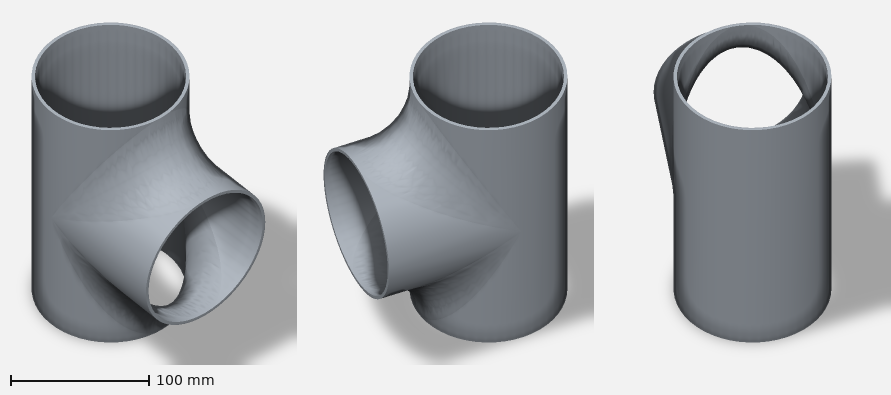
import cadquery as cq
import math

run_length = 210.0
half_run = run_length / 2
branch_reach = half_run
outer_radius = 57.1
wall = 2.5
inner_radius = outer_radius - wall
section_count = 9


def half_ellipse(direction, reach, radius):
    """Half ellipse through the Y axis at +/-radius, reaching out along an XZ direction."""
    normal = direction.cross(cq.Vector(0, 1, 0))
    return cq.Edge.makeEllipse(
        reach, radius, cq.Vector(0, 0, 0), normal, direction, angle1=-90, angle2=90
    )


def crotch_reach(angle, radius):
    """Distance from the tee centre to the crotch arc, at an angle above the X axis."""
    arc_radius = half_run - radius
    along = branch_reach * math.cos(angle) + half_run * math.sin(angle)
    across = half_run * math.cos(angle) - branch_reach * math.sin(angle)
    return along - math.sqrt(max(arc_radius**2 - across**2, 0))


def crotch_wedge(radius):
    """Upper wedge between run and branch, closed by the saddle surface of the crotch."""
    start_angle = math.atan2(radius, branch_reach)
    end_angle = math.atan2(half_run, radius)
    arcs = []
    for index in range(section_count):
        angle = start_angle + (end_angle - start_angle) * index / (section_count - 1)
        direction = cq.Vector(math.cos(angle), 0, math.sin(angle))
        arcs.append(half_ellipse(direction, crotch_reach(angle, radius), radius))
    saddle = cq.occ_impl.shapes.loft(*[cq.Wire.assembleEdges([arc]) for arc in arcs])
    tip_line = cq.Edge.makeLine(cq.Vector(0, -radius, 0), cq.Vector(0, radius, 0))
    sides = [
        cq.Face.makeFromWires(cq.Wire.assembleEdges([arc, tip_line]))
        for arc in (arcs[0], arcs[-1])
    ]
    shell = cq.occ_impl.shapes.shell(*saddle.Faces(), *sides, tol=1e-4)
    return cq.Workplane(obj=cq.occ_impl.shapes.solid(shell))


def tee_body(radius):
    """Solid tee of one pipe radius, with both crotches filled."""
    run = cq.Workplane("XY").circle(radius).extrude(half_run, both=True)
    branch = cq.Workplane("YZ").circle(radius).extrude(branch_reach)
    wedge = crotch_wedge(radius)
    return run.union(branch).union(wedge).union(wedge.mirror("XY"))


result = tee_body(outer_radius).cut(tee_body(inner_radius))